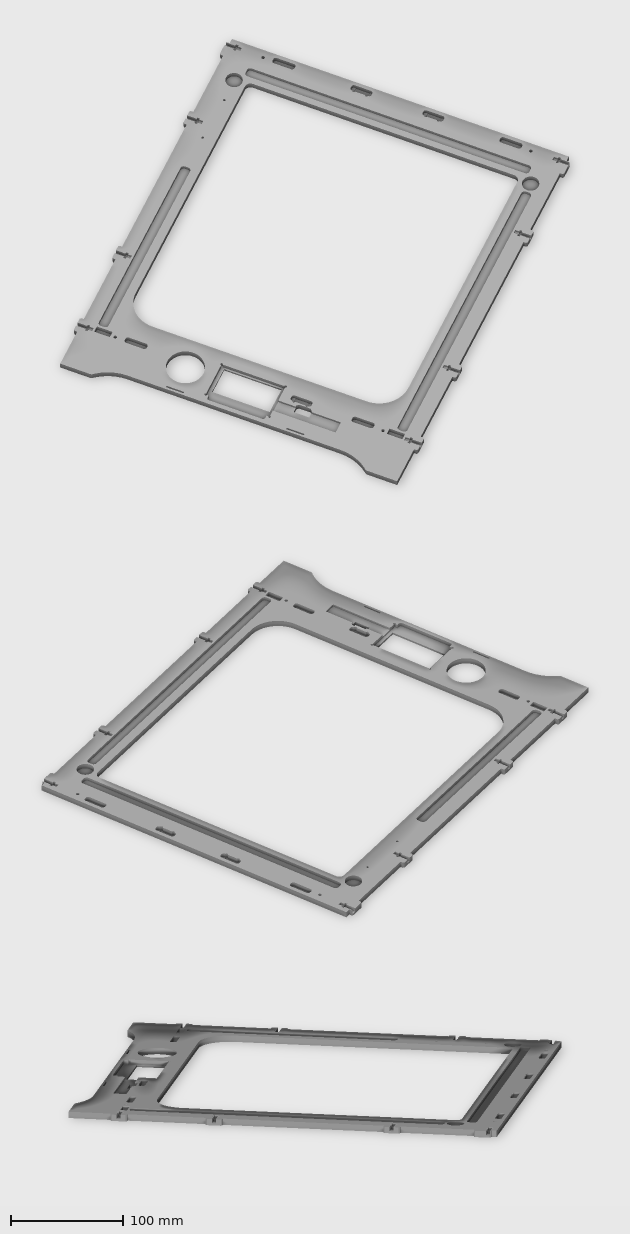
import cadquery as cq
import math

TOTAL_WIDTH = 333.5
HEIGHT = 387.5
THICKNESS = 6.0
TAB_REACH = 3.5
HALF_TOTAL = TOTAL_WIDTH / 2
HALF_WIDTH = HALF_TOTAL - TAB_REACH
TOP = HEIGHT / 2
BOTTOM = -HEIGHT / 2

RELIEF_FLAT_Y = -182.0
RELIEF_FLAT_HALF = 103.0
RELIEF_END_HALF = 131.5
FOOT_RISE = 1.5
FOOT_HALF = 134.5

TAB_LENGTH = 15.0
TAB_CHAMFER = 1.0
TOP_TAB_Y = 181.5
TOP_TAB_SLOT_Y = 186.5
LOWER_TABS_Y = [99.2, -61.5, -148.0]

SCREW_WIDTH = 3.5
SCREW_LENGTH = 11.5
SCREW_DEPTH = 4.0
TIP_LENGTH = 15.5
TIP_DEPTH = 2.5
NUT_WIDTH = 6.5
NUT_THICKNESS = 2.5

WINDOW_HALF = 132.0
WINDOW_TOP = 155.8
WINDOW_BOTTOM = -124.0
WINDOW_TOP_RADIUS = 5.5
WINDOW_BOTTOM_RADIUS = 28.3

GROOVE_WIDTH = 9.3
GROOVE_RADIUS = 3.0
GROOVE_DEPTH = 3.5
SIDE_GROOVE_X = 145.0
SIDE_GROOVE_BOTTOM = -141.5
LEFT_GROOVE_TOP = 49.0
RIGHT_GROOVE_TOP = 143.5
TOP_GROOVE_HALF = 137.5
TOP_GROOVE_Y = 166.2

DISC_X = 143.8
DISC_Y = 153.0
DISC_RADIUS = 7.8
DISC_THICKNESS = 0.8

UPPER_ROW_Y = 187.0
LOWER_ROW_Y = -146.5
POCKET_DEPTH = 4.5
STEP_DEPTH = 4.0
SLOT_X = 110.0
SLOT_LENGTH = 21.5
SLOT_WIDTH = 6.2
SLOT_RADIUS = 2.5
PIN_HOLE_X = 130.0
PIN_HOLE_DROP = 1.0
PIN_HOLE_RADIUS = 1.5
END_POCKET_X = 142.0
END_POCKET_LENGTH = 15.0

HOOK_X = 35.0
CARD_HOOK_X = 50.5
HOOK_LENGTH = 20.0
HOOK_CORE_LENGTH = 14.0
HOOK_RELIEF_SPACING = 12.5
RELIEF_RADIUS = 1.0

BLIND_HOLES = [(-143.0, 129.5), (-144.5, 84.0)]
BLIND_HOLE_RADIUS = 1.0

KNOB_X = -59.3
KNOB_Y = -153.5
KNOB_RADIUS = 17.5

DISPLAY_HALF = 28.0
DISPLAY_TOP = -139.0
DISPLAY_BOTTOM = -166.2
RECESS_HALF = 31.0
RECESS_TOP = -137.5
RECESS_SHOULDER = -173.5
RECESS_BOTTOM = -178.2
RECESS_RADIUS = 2.0
RECESS_DEPTH = 4.0

CARD_POCKET_END = 92.0
CARD_POCKET_TOP = -154.2
CARD_POCKET_DEPTH = 2.5
CARD_LEFT = 48.0
CARD_RIGHT = 63.0
CARD_TOP = -151.0
CARD_BOTTOM = -159.0
CARD_CHAMFER = 2.0

SLIT_CENTRES_X = [-58.0, 58.5]
SLIT_LENGTH = 17.0
SLIT_WIDTH = 1.5
SLIT_Y = -179.5


def cut_box(x0, x1, y0, y1, depth):
    """Rectangular block reaching from the top face down to the given depth."""
    return (
        cq.Workplane("XY", origin=(0, 0, THICKNESS - depth))
        .center((x0 + x1) / 2, (y0 + y1) / 2)
        .rect(x1 - x0, y1 - y0)
        .extrude(depth)
    )


def centred_box(x, y, length, width, depth):
    """Block as above, placed by its centre."""
    return cut_box(x - length / 2, x + length / 2, y - width / 2, y + width / 2, depth)


def cut_cylinder(x, y, radius, depth):
    """Cylinder reaching from the top face down to the given depth."""
    base = cq.Workplane("XY", origin=(0, 0, THICKNESS - depth))
    return base.center(x, y).circle(radius).extrude(depth)


def both_sides(shape):
    """The shape together with its mirror image on the other side of the panel."""
    return shape.union(shape.mirror("YZ"))


def tangent_arc_middle(run, rise):
    """Middle of an arc covering run and rise, as the run and rise from its end that is parallel to X."""
    radius = (run**2 + rise**2) / (2 * rise)
    half_angle = math.asin(run / radius) / 2
    return radius * math.sin(half_angle), radius * (1 - math.cos(half_angle))


def outline():
    """Plain panel with the relief in its bottom edge."""
    foot_y = BOTTOM + FOOT_RISE
    bend_run, bend_drop = tangent_arc_middle(RELIEF_END_HALF - RELIEF_FLAT_HALF, RELIEF_FLAT_Y - foot_y)
    bend_x = RELIEF_FLAT_HALF + bend_run
    bend_y = RELIEF_FLAT_Y - bend_drop
    foot_run, foot_rise = tangent_arc_middle(FOOT_HALF - RELIEF_END_HALF, FOOT_RISE)
    foot_bend_x = FOOT_HALF - foot_run
    foot_bend_y = BOTTOM + foot_rise
    return (
        cq.Workplane("XY")
        .moveTo(-HALF_WIDTH, TOP)
        .lineTo(HALF_WIDTH, TOP)
        .lineTo(HALF_WIDTH, BOTTOM)
        .lineTo(FOOT_HALF, BOTTOM)
        .threePointArc((foot_bend_x, foot_bend_y), (RELIEF_END_HALF, foot_y))
        .threePointArc((bend_x, bend_y), (RELIEF_FLAT_HALF, RELIEF_FLAT_Y))
        .lineTo(-RELIEF_FLAT_HALF, RELIEF_FLAT_Y)
        .threePointArc((-bend_x, bend_y), (-RELIEF_END_HALF, foot_y))
        .threePointArc((-foot_bend_x, foot_bend_y), (-FOOT_HALF, BOTTOM))
        .lineTo(-HALF_WIDTH, BOTTOM)
        .close()
        .extrude(THICKNESS)
    )


def tab(y):
    """Tab on the left edge, rooted one reach inside the panel."""
    block = centred_box(-HALF_WIDTH, y, 2 * TAB_REACH, TAB_LENGTH, THICKNESS)
    return block.edges("|Z and <X").chamfer(TAB_CHAMFER)


def screw_pocket(y):
    """Screw slot with a nut trap across it and a shallower tip."""
    end = -HALF_TOTAL
    nut_x = end + SCREW_LENGTH - NUT_THICKNESS / 2
    screw = centred_box(end + SCREW_LENGTH / 2, y, SCREW_LENGTH, SCREW_WIDTH, SCREW_DEPTH)
    nut = centred_box(nut_x, y, NUT_THICKNESS, NUT_WIDTH, SCREW_DEPTH)
    tip = centred_box(end + TIP_LENGTH / 2, y, TIP_LENGTH, SCREW_WIDTH, TIP_DEPTH)
    return screw.union(nut).union(tip)


def window():
    opening = cut_box(-WINDOW_HALF, WINDOW_HALF, WINDOW_BOTTOM, WINDOW_TOP, THICKNESS)
    opening = opening.edges("|Z and >Y").fillet(WINDOW_TOP_RADIUS)
    return opening.edges("|Z and <Y").fillet(WINDOW_BOTTOM_RADIUS)


def groove(x0, x1, y0, y1):
    return cut_box(x0, x1, y0, y1, GROOVE_DEPTH).edges("|Z").fillet(GROOVE_RADIUS)


def side_groove(x, top):
    half = GROOVE_WIDTH / 2
    return groove(x - half, x + half, SIDE_GROOVE_BOTTOM, top)


def top_groove():
    half = GROOVE_WIDTH / 2
    return groove(-TOP_GROOVE_HALF, TOP_GROOVE_HALF, TOP_GROOVE_Y - half, TOP_GROOVE_Y + half)


def fixing_slot(y):
    slot = centred_box(-SLOT_X, y, SLOT_LENGTH, SLOT_WIDTH, POCKET_DEPTH)
    return slot.edges("|Z").fillet(SLOT_RADIUS)


def hook_pocket(x, y):
    pocket = centred_box(x, y, HOOK_LENGTH, SLOT_WIDTH, STEP_DEPTH).edges("|Z").fillet(SLOT_RADIUS)
    pocket = pocket.union(centred_box(x, y, HOOK_CORE_LENGTH, SLOT_WIDTH, POCKET_DEPTH))
    for side in (-1, 1):
        relief_x = x + side * HOOK_RELIEF_SPACING / 2
        pocket = pocket.union(cut_cylinder(relief_x, y - SLOT_WIDTH / 2, RELIEF_RADIUS, POCKET_DEPTH))
    return pocket


def display_cut():
    """Opening, the stepped recess around it and the reliefs in the recess corners."""
    opening = cut_box(-DISPLAY_HALF, DISPLAY_HALF, DISPLAY_BOTTOM, DISPLAY_TOP, THICKNESS)
    recess = cut_box(-RECESS_HALF, RECESS_HALF, RECESS_SHOULDER, RECESS_TOP, RECESS_DEPTH)
    lower = cut_box(-DISPLAY_HALF, DISPLAY_HALF, RECESS_BOTTOM, DISPLAY_BOTTOM, RECESS_DEPTH)
    lower = lower.edges("|Z and <Y").fillet(RECESS_RADIUS)
    cut = recess.union(lower).union(opening)
    for x in (-RECESS_HALF, RECESS_HALF):
        for y in (RECESS_SHOULDER, RECESS_TOP):
            cut = cut.union(cut_cylinder(x, y, RELIEF_RADIUS, RECESS_DEPTH))
    return cut


def card_cut():
    """Shallow pocket running into the display recess, and the card opening."""
    pocket = cut_box(RECESS_HALF, CARD_POCKET_END, DISPLAY_BOTTOM, CARD_POCKET_TOP, CARD_POCKET_DEPTH)
    opening = cut_box(CARD_LEFT, CARD_RIGHT, CARD_BOTTOM, CARD_TOP, THICKNESS)
    return pocket.union(opening.edges("|Z and >Y").chamfer(CARD_CHAMFER))


def make_panel():
    panel = outline()
    for y in [TOP_TAB_Y] + LOWER_TABS_Y:
        panel = panel.union(both_sides(tab(y)))
    for y in [TOP_TAB_SLOT_Y] + LOWER_TABS_Y:
        panel = panel.cut(both_sides(screw_pocket(y)))

    panel = panel.cut(window())
    panel = panel.cut(top_groove())
    panel = panel.cut(side_groove(-SIDE_GROOVE_X, LEFT_GROOVE_TOP))
    panel = panel.cut(side_groove(SIDE_GROOVE_X, RIGHT_GROOVE_TOP))
    panel = panel.cut(both_sides(cut_cylinder(DISC_X, DISC_Y, DISC_RADIUS, THICKNESS)))

    for y in (UPPER_ROW_Y, LOWER_ROW_Y):
        pin_hole = cut_cylinder(-PIN_HOLE_X, y - PIN_HOLE_DROP, PIN_HOLE_RADIUS, THICKNESS)
        panel = panel.cut(both_sides(fixing_slot(y)))
        panel = panel.cut(both_sides(pin_hole))
    end_pocket = centred_box(-END_POCKET_X, LOWER_ROW_Y, END_POCKET_LENGTH, SLOT_WIDTH, POCKET_DEPTH)
    panel = panel.cut(both_sides(end_pocket))
    panel = panel.cut(both_sides(hook_pocket(HOOK_X, UPPER_ROW_Y)))
    panel = panel.cut(hook_pocket(CARD_HOOK_X, LOWER_ROW_Y))

    for x, y in BLIND_HOLES:
        panel = panel.cut(cut_cylinder(x, y, BLIND_HOLE_RADIUS, POCKET_DEPTH))
    panel = panel.cut(cut_cylinder(KNOB_X, KNOB_Y, KNOB_RADIUS, THICKNESS))
    panel = panel.cut(display_cut())
    panel = panel.cut(card_cut())
    for x in SLIT_CENTRES_X:
        panel = panel.cut(centred_box(x, SLIT_Y, SLIT_LENGTH, SLIT_WIDTH, POCKET_DEPTH))
    return panel


def make_disc(x):
    """Thin disc closing the bottom of a corner hole, flush with the bottom face."""
    return cq.Workplane("XY").center(x, DISC_Y).circle(DISC_RADIUS).extrude(DISC_THICKNESS)


panel = make_panel()
discs = [make_disc(x) for x in (-DISC_X, DISC_X)]

result = cq.Compound.makeCompound([panel.solids().val(), *[disc.val() for disc in discs]])